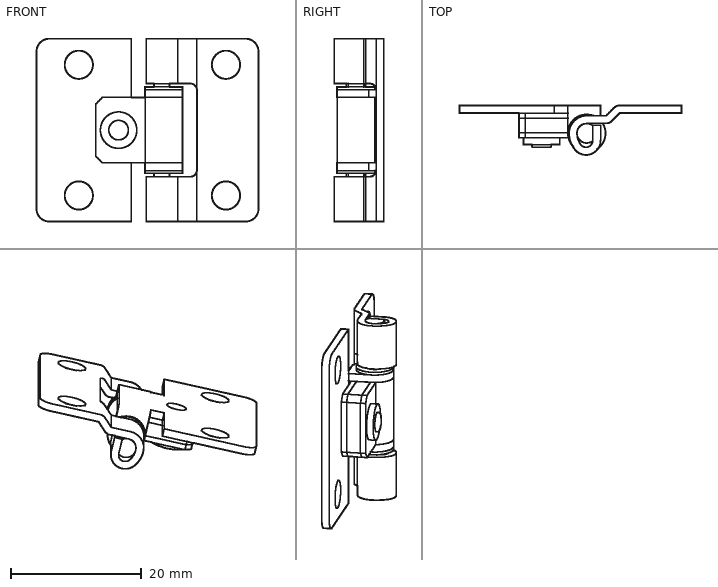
import cadquery as cq
import math


LENGTH = 34.0
HEIGHT = 28.0
SHEET = 1.2
BACK_Y = 4.3
FRONT_Y = BACK_Y - SHEET

PIN_RADIUS = 1.5
PIN_FLAT_X = 0.92

FIXED_LEAF_WIDTH = 14.52
LEFT_X = -19.48
RIGHT_X = LEFT_X + LENGTH
FIXED_LEAF_EDGE_X = LEFT_X + FIXED_LEAF_WIDTH
CORNER_RADIUS = 2.0
HOLE_DIAMETER = 4.3
HOLE_SPACING_Z = 20.0
FIXED_HOLE_X = LEFT_X + 6.5
MOVING_HOLE_X = RIGHT_X - 5.0

BARREL_RADIUS = 2.9
STRAP_HEIGHT = 10.0
BRACKET_HEIGHT = STRAP_HEIGHT + 2 * SHEET
WASHER_THICKNESS = 0.45
BRACKET_RIGHT_X = 2.1
BRACKET_BEND_RADIUS = 1.1

CURL_HEIGHT = 6.9
CURL_FRONT_Y = BACK_Y - 7.6
CURL_OUTER_RADIUS = PIN_RADIUS + SHEET
CURL_TIP_X = PIN_FLAT_X + SHEET
CURL_TIP_Y = 1.22
CURL_END_RADIUS = 2.2
STEP_END_X = 24.55 + LEFT_X
STEP_START_X = STEP_END_X - (FRONT_Y - PIN_RADIUS)
BEND_SHIFT = SHEET * math.tan(math.radians(22.5))
WINDOW_CORNER_RADIUS = 1.0

STRAP_THICKNESS = 0.8
STACK_THICKNESS = 3.8
STACK_FRONT_Y = FRONT_Y - STACK_THICKNESS
STACK_LEFT_X = 9.1 + LEFT_X
STACK_CHAMFER = 1.0
RIVET_X = 12.58 + LEFT_X
RIVET_RADIUS = 1.5
RIVET_PROTRUSION = 0.45
RIVET_EDGE_RADIUS = 0.27
RIVET_RING_RADIUS = 2.8
RIVET_RING_THICKNESS = 1.02


def box(x_range, y_range, height):
    """Box given by its X and Y limits, centred on Z = 0."""
    width = x_range[1] - x_range[0]
    depth = y_range[1] - y_range[0]
    middle = (sum(x_range) / 2, sum(y_range) / 2, 0)
    return cq.Workplane("XY").box(width, depth, height).translate(middle)


def cylinder_z(radius, height, z_bottom):
    return cq.Workplane("XY").workplane(offset=z_bottom).circle(radius).extrude(height)


def rivet_cylinder(radius, y_front, y_back):
    """Cylinder along Y on the rivet axis."""
    start = cq.Workplane("XZ", origin=(RIVET_X, y_back, 0))
    return start.circle(radius).extrude(y_back - y_front)


def mounting_holes(x):
    plane = cq.Workplane("XZ", origin=(x, BACK_Y, 0))
    points = [(0, -HOLE_SPACING_Z / 2), (0, HOLE_SPACING_Z / 2)]
    return plane.pushPoints(points).circle(HOLE_DIAMETER / 2).extrude(SHEET)


def pin_section(height):
    flat_cut = box((PIN_FLAT_X, BARREL_RADIUS), (-BARREL_RADIUS, BARREL_RADIUS), height)
    return cylinder_z(PIN_RADIUS, height, -height / 2).cut(flat_cut)


def make_pin():
    return pin_section(HEIGHT)


def make_fixed_leaf():
    """Flat leaf whose tab carries two flanges bent forward around the pin."""
    plate = box((LEFT_X, FIXED_LEAF_EDGE_X), (FRONT_Y, BACK_Y), HEIGHT)
    plate = plate.edges("|Y and <X").fillet(CORNER_RADIUS)
    plate = plate.cut(mounting_holes(FIXED_HOLE_X))

    tab = box((FIXED_LEAF_EDGE_X, -BARREL_RADIUS), (FRONT_Y, BACK_Y), STRAP_HEIGHT)

    bracket = box((-BARREL_RADIUS, BRACKET_RIGHT_X), (0, BACK_Y), BRACKET_HEIGHT)
    bracket = bracket.edges("|X and >Y").fillet(BRACKET_BEND_RADIUS)
    bracket = bracket.union(cylinder_z(BARREL_RADIUS, BRACKET_HEIGHT, -BRACKET_HEIGHT / 2))
    between_flanges = box((-BARREL_RADIUS, BARREL_RADIUS), (-BARREL_RADIUS, FRONT_Y), STRAP_HEIGHT)
    bracket = bracket.cut(between_flanges).cut(pin_section(HEIGHT))

    return plate.union(tab).union(bracket).cut(rivet_shank())


def moving_leaf_profile():
    """Closed XY outline: flat leaf, 45 degree step, and curl around the pin."""
    end_x = CURL_TIP_X - CURL_END_RADIUS
    end_y = CURL_FRONT_Y + CURL_END_RADIUS
    reach = end_x + CURL_OUTER_RADIUS
    wide_radius = (reach**2 + end_y**2 - CURL_END_RADIUS**2) / (2 * (reach - CURL_END_RADIUS))
    wide_x = wide_radius - CURL_OUTER_RADIUS
    tangent_angle = math.atan2(end_y, end_x - wide_x) % (2 * math.pi)

    def on_arc(x, y, radius, angle):
        return (x + radius * math.cos(angle), y + radius * math.sin(angle))

    def wide_arc(radius, angle):
        return on_arc(wide_x, 0, radius, angle)

    def end_arc(radius, angle):
        return on_arc(end_x, end_y, radius, angle)

    wide_middle = (math.pi + tangent_angle) / 2
    end_middle = (tangent_angle + 2 * math.pi) / 2
    quarter_middle = math.radians(135)
    wide_inner = wide_radius - SHEET
    end_inner = CURL_END_RADIUS - SHEET

    return (
        cq.Workplane("XY")
        .moveTo(RIGHT_X, BACK_Y)
        .lineTo(STEP_END_X - BEND_SHIFT, BACK_Y)
        .lineTo(STEP_START_X - BEND_SHIFT, CURL_OUTER_RADIUS)
        .lineTo(0, CURL_OUTER_RADIUS)
        .threePointArc(on_arc(0, 0, CURL_OUTER_RADIUS, quarter_middle), (-CURL_OUTER_RADIUS, 0))
        .threePointArc(wide_arc(wide_radius, wide_middle), wide_arc(wide_radius, tangent_angle))
        .threePointArc(end_arc(CURL_END_RADIUS, end_middle), (CURL_TIP_X, end_y))
        .lineTo(CURL_TIP_X, CURL_TIP_Y)
        .lineTo(PIN_FLAT_X, CURL_TIP_Y)
        .lineTo(PIN_FLAT_X, end_y)
        .threePointArc(end_arc(end_inner, end_middle), wide_arc(wide_inner, tangent_angle))
        .threePointArc(wide_arc(wide_inner, wide_middle), (-PIN_RADIUS, 0))
        .threePointArc(on_arc(0, 0, PIN_RADIUS, quarter_middle), (0, PIN_RADIUS))
        .lineTo(STEP_START_X, PIN_RADIUS)
        .lineTo(STEP_END_X, FRONT_Y)
        .lineTo(RIGHT_X, FRONT_Y)
        .close()
    )


def make_moving_leaf():
    """Stepped leaf with a curl at each end and a window between them for the barrel."""
    leaf = moving_leaf_profile().extrude(HEIGHT / 2, both=True)
    leaf = leaf.edges("|Y and >X").fillet(CORNER_RADIUS)
    outer_bends = [(STEP_START_X, PIN_RADIUS, 0), (STEP_END_X - BEND_SHIFT, BACK_Y, 0)]
    for bend in outer_bends:
        leaf = leaf.edges(cq.NearestToPointSelector(bend)).fillet(SHEET)
    window_height = HEIGHT - 2 * CURL_HEIGHT
    window = box((-2 * BARREL_RADIUS, STEP_END_X), (CURL_FRONT_Y, BACK_Y), window_height)
    window = window.edges("|Y and >X").fillet(WINDOW_CORNER_RADIUS)
    return leaf.cut(window).cut(mounting_holes(MOVING_HOLE_X))


def make_washer(z_bottom):
    return cylinder_z(BARREL_RADIUS, WASHER_THICKNESS, z_bottom).cut(pin_section(HEIGHT))


def clamped_layer(y_front, y_back):
    """Slice of the clamped stack, reaching from its chamfered end to the pin axis."""
    layer = box((STACK_LEFT_X, 0), (y_front, y_back), STRAP_HEIGHT)
    return layer.edges("|Y and <X").chamfer(STACK_CHAMFER)


def strap_barrel():
    return cylinder_z(BARREL_RADIUS, STRAP_HEIGHT, -STRAP_HEIGHT / 2)


def make_strap():
    """Friction strap: a barrel around the pin with two parallel arms."""
    back_arm = clamped_layer(FRONT_Y - STRAP_THICKNESS, FRONT_Y)
    front_arm = clamped_layer(STACK_FRONT_Y, STACK_FRONT_Y + STRAP_THICKNESS)
    strap = strap_barrel().union(back_arm).union(front_arm)
    return strap.cut(pin_section(HEIGHT)).cut(rivet_shank())


def make_spacer():
    """Block between the arms of the strap."""
    spacer = clamped_layer(STACK_FRONT_Y + STRAP_THICKNESS, FRONT_Y - STRAP_THICKNESS)
    return spacer.cut(strap_barrel()).cut(rivet_shank())


def rivet_shank():
    tip_y = STACK_FRONT_Y - RIVET_RING_THICKNESS - RIVET_PROTRUSION
    return rivet_cylinder(RIVET_RADIUS, tip_y, BACK_Y)


def make_rivet():
    return rivet_shank().faces("<Y").edges().fillet(RIVET_EDGE_RADIUS)


def make_rivet_ring():
    ring = rivet_cylinder(RIVET_RING_RADIUS, STACK_FRONT_Y - RIVET_RING_THICKNESS, STACK_FRONT_Y)
    return ring.cut(rivet_shank())


moving_leaf = make_moving_leaf()
pin = make_pin().cut(moving_leaf)
fixed_leaf = make_fixed_leaf()
washer_bottoms = [BRACKET_HEIGHT / 2, -BRACKET_HEIGHT / 2 - WASHER_THICKNESS]
washers = [make_washer(z_bottom) for z_bottom in washer_bottoms]
strap = make_strap()
spacer = make_spacer()
rivet = make_rivet()
rivet_ring = make_rivet_ring()

result = cq.Compound.makeCompound(
    [
        pin.val(),
        fixed_leaf.val(),
        moving_leaf.val(),
        *[washer.val() for washer in washers],
        strap.val(),
        spacer.val(),
        rivet.val(),
        rivet_ring.val(),
    ]
)